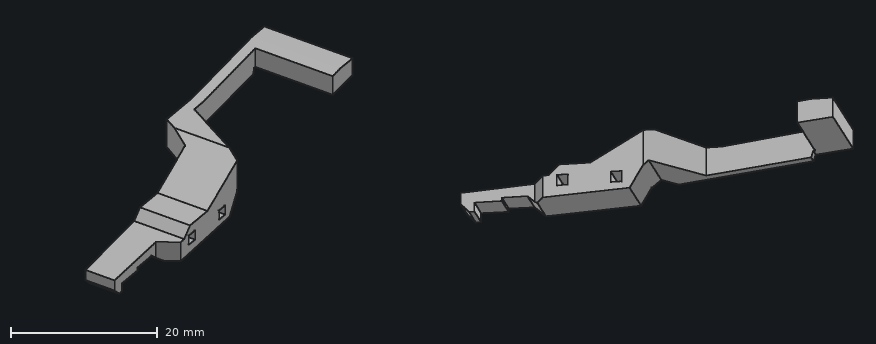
import cadquery as cq
import math


length = 52.45
width = 14.4
height = 11.82

bar_depth = 4.95
arm_width = 1.8
arm_inner_end = 32.4
arm_outer_end = 28.25
body_left = 4.92
body_right = 13.1
body_front = 11.95
finger_left = 5.38
finger_right = 10.15
crank_slope = math.tan(math.radians(30))

bar_top_front = 49.34
arm_crest_back = 34.5
arm_crest_front = 27.05
arm_crest_height = 9.92
body_top_back = 18.5
body_top_front = 14.2
body_top_height = 5.05
finger_top_back = 12.75
finger_top_height = 3.62
tip_top_height = 2.8
bend_radius = 4.0

hook_chamfer = 1.15
hook_length = 1.9
hook_step_height = 1.28
finger_step_back = 5.7
finger_underside_height = 1.75
finger_underside_back = 9.25
body_heel_front = 10.8
body_heel_front_height = 0.4
body_heel_back = 24.0
body_heel_back_height = 1.1
arm_underside_front = 26.45
arm_underside_front_height = 5.2
step_front = 46.95
step_front_height = 7.6
step_back = 47.25
step_back_height = 8.5
bar_underside_height = 9.05

hole_size = 1.5
hole_height = 2.82
hole_positions = (14.68, 22.13)


def side_profile():
    """Side shape of the lever across the full width, with its two top bends blended."""
    points = [
        (length, height),
        (bar_top_front, height),
        (arm_crest_back, arm_crest_height),
        (arm_crest_front, arm_crest_height),
        (body_top_back, body_top_height),
        (body_top_front, body_top_height),
        (finger_top_back, finger_top_height),
        (0, tip_top_height),
        (0, hook_chamfer),
        (hook_chamfer, 0),
        (hook_length, 0),
        (hook_length, hook_step_height),
        (finger_step_back, hook_step_height),
        (finger_step_back, finger_underside_height),
        (finger_underside_back, finger_underside_height),
        (body_heel_front, body_heel_front_height),
        (body_heel_back, body_heel_back_height),
        (arm_underside_front, arm_underside_front_height),
        (step_front, step_front_height),
        (step_back, step_back_height),
        (length, bar_underside_height),
    ]
    solid = cq.Workplane("YZ").polyline(points).close().extrude(width)
    for bend_y, bend_z in ((bar_top_front, height), (arm_crest_back, arm_crest_height)):
        bend = cq.selectors.NearestToPointSelector((width / 2, bend_y, bend_z))
        solid = solid.edges(bend).fillet(bend_radius)
    return solid


def plan_outline():
    """Outline from above: crossbar, thin arm, 30 degree crank, body and hook finger."""
    bar_front = length - bar_depth
    crank_inner_end = arm_inner_end - (body_right - arm_width) * crank_slope
    crank_outer_end = arm_outer_end - body_left * crank_slope
    finger_start = body_front - (body_right - finger_right) * crank_slope
    points = [
        (0, length),
        (width, length),
        (width, bar_front),
        (arm_width, bar_front),
        (arm_width, arm_inner_end),
        (body_right, crank_inner_end),
        (body_right, body_front),
        (finger_right, finger_start),
        (finger_right, 0),
        (finger_left, 0),
        (body_left, body_front),
        (body_left, crank_outer_end),
        (0, arm_outer_end),
    ]
    return cq.Workplane("XY").polyline(points).close().extrude(height)


def cross_holes():
    """Square holes that pass through the body along X."""
    centres = [(y, hole_height) for y in hole_positions]
    return cq.Workplane("YZ").pushPoints(centres).rect(hole_size, hole_size).extrude(width)


result = side_profile().intersect(plan_outline()).cut(cross_holes())